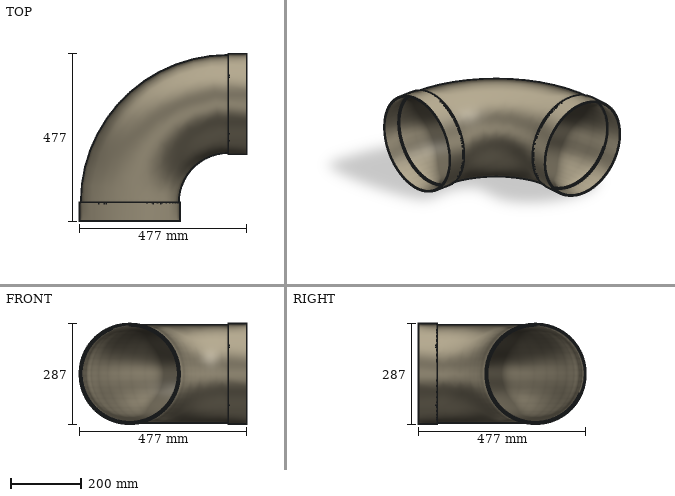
import cadquery as cq
import math

bend_radius = 280.0
bend_angle = 90.0
wall = 3.5
pipe_outer_radius = 280.0 / 2
collar_length = 53.5

pipe_inner_radius = pipe_outer_radius - wall
socket_radius = pipe_outer_radius
collar_outer_radius = socket_radius + wall

round_radius = socket_radius - pipe_inner_radius
floor_height = round_radius

up = (0, 0, 1)
inlet_section = cq.Plane(origin=(0, 0, 0), xDir=up, normal=(1, 0, 0))
outlet_section = cq.Plane(origin=(bend_radius, bend_radius, 0), xDir=up, normal=(0, 1, 0))


def make_bend():
    """Quarter-turn tube from the origin to the outlet end."""
    return (
        cq.Workplane("XZ")
        .circle(pipe_outer_radius)
        .circle(pipe_inner_radius)
        .revolve(bend_angle, (bend_radius, 1, 0), (bend_radius, -1, 0))
    )


def make_collar(section_plane):
    """Socket collar revolved about the pipe axis, starting where the bend ends."""
    round_offset = round_radius * math.sqrt(0.5)
    round_middle = (socket_radius - round_offset, round_offset)
    return (
        cq.Workplane(section_plane)
        .moveTo(pipe_inner_radius, 0)
        .lineTo(collar_outer_radius, 0)
        .lineTo(collar_outer_radius, collar_length)
        .lineTo(socket_radius, collar_length)
        .lineTo(socket_radius, floor_height)
        .threePointArc(round_middle, (pipe_inner_radius, 0))
        .close()
        .revolve(360, (0, 0, 0), (0, 1, 0))
    )


result = make_bend()
for section_plane in (inlet_section, outlet_section):
    result = result.union(make_collar(section_plane))